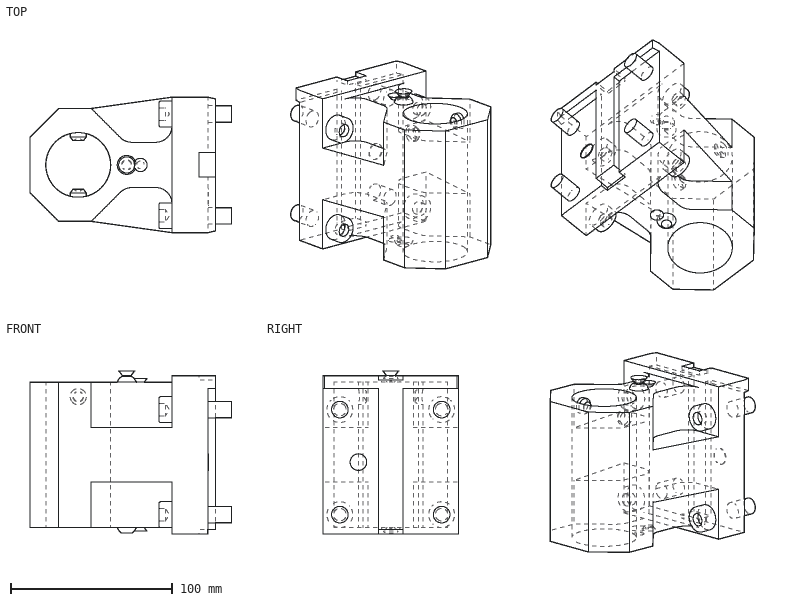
import cadquery as cq
import math


BODY_HEIGHT = 90.0
BODY_HALF_WIDTH = 35.0
BODY_FRONT = -30.0
FRONT_BEVEL = 17.9
BORE_RADIUS = 20.0

WEB_HALF_WIDTH = 14.0
WEB_FILLET = 10.0
POCKET_CORNER_X = 29.0
BEVEL_END_X = POCKET_CORNER_X - (BODY_HALF_WIDTH - WEB_HALF_WIDTH)
RIB_HEIGHT = 33.8

PLATE_HALF_WIDTH = 42.0
PLATE_HEIGHT = 98.0
PLATE_FRONT = 58.0
PLATE_BACK = 80.2
LIP_BACK = 85.0
LIP_HEIGHT = 8.0
LIP_TAPER = 1.1

KEY_WIDTH = 15.2
KEY_FRONT = 74.9
KEY_INSET = 2.8

PAD_RADIUS = 5.1
PAD_HEIGHT = 0.5
PAD_Y = -20.0

BOLT_END = 95.0
BOLT_RADIUS = 5.1
HEAD_RADIUS = 8.0
HEAD_LENGTH = 8.0
HEAD_FILLET = 1.0
BOLT_SOCKET_RADIUS = 3.9
BOLT_SOCKET_DEPTH = 4.0
BOLT_Y = 31.5
BOLT_SPACING_Z = 65.0
LOWER_BOLT_MARGIN = 12.0
LOWER_BOLT_Z = LOWER_BOLT_MARGIN - PLATE_HEIGHT / 2
UPPER_BOLT_Z = LOWER_BOLT_Z + BOLT_SPACING_Z
PAD_Z = (LOWER_BOLT_Z + UPPER_BOLT_Z) / 2

SCREW_RADIUS = 5.0
SCREW_TIP_RADIUS = 3.2
SCREW_TIP_Y = 15.0
SCREW_TIP_LENGTH = 2.2
SCREW_EMBEDMENT = 2.5
SCREW_ROOT_Y = BORE_RADIUS + SCREW_EMBEDMENT
SCREW_BELOW_TOP = 9.0
SCREW_Z = BODY_HEIGHT / 2 - SCREW_BELOW_TOP
SCREW_CUP_RADIUS = 3.0

NOZZLE_X = 30.0
DOME_RADIUS = 6.1
DOME_SINK = 1.8
DOME_HEIGHT = 3.5
NOZZLE_NECK_RADIUS = 2.9
NOZZLE_NECK_TOP = 4.2
NOZZLE_RIM_RADIUS = 5.0
NOZZLE_HEIGHT = 7.0
PLUG_X = 38.5
PLUG_BASE_RADIUS = 2.4
PLUG_RIM_RADIUS = 4.1
PLUG_HEIGHT = 2.2

DRILL_POINT_HALF_ANGLE = math.radians(59)

ROOT = 1.2


def prism(points, height):
    """Extrude an XY outline symmetrically about Z = 0."""
    return cq.Workplane("XY").polyline(points).close().extrude(height / 2, both=True)


def block(x_range, width, z_range):
    """Box centred on Y = 0."""
    x_min, x_max = x_range
    z_min, z_max = z_range
    size = (x_max - x_min, width, z_max - z_min)
    return cq.Workplane("XY").box(*size, centered=(False, True, False)).translate((x_min, 0, z_min))


def turned(points):
    """Solid of revolution about the Z axis from (radius, height) points."""
    return cq.Workplane("XZ").polyline(points).close().revolve(360, (0, 0, 0), (0, 1, 0))


def drilled_hole(radius, depth=0.0):
    """Cutter from Z = 0 upward: a round hole, if any depth is given, ending in a drill point."""
    apex = (0, depth + radius / math.tan(DRILL_POINT_HALF_ANGLE))
    wall_end = [(radius, depth)] if depth > 0 else []
    return turned([(0, 0), (radius, 0)] + wall_end + [apex])


def make_body():
    """Bevelled clamping block joined to the plate by a filleted web."""
    bevel_y = BODY_HALF_WIDTH - FRONT_BEVEL
    bevel_x = BODY_FRONT + FRONT_BEVEL
    web_start = PLATE_FRONT - WEB_FILLET
    half = [
        (PLATE_FRONT, WEB_HALF_WIDTH + WEB_FILLET),
        (web_start, WEB_HALF_WIDTH + WEB_FILLET),
        (web_start, WEB_HALF_WIDTH),
        (POCKET_CORNER_X, WEB_HALF_WIDTH),
        (BEVEL_END_X, BODY_HALF_WIDTH),
        (bevel_x, BODY_HALF_WIDTH),
        (BODY_FRONT, bevel_y),
    ]
    body = prism(half + [(x, -y) for x, y in reversed(half)], BODY_HEIGHT)
    for side in (-1, 1):
        corner = cq.selectors.NearestToPointSelector((POCKET_CORNER_X, side * WEB_HALF_WIDTH, 0))
        hollow = (
            cq.Workplane("XY")
            .center(web_start, side * (WEB_HALF_WIDTH + WEB_FILLET))
            .circle(WEB_FILLET)
            .extrude(BODY_HEIGHT / 2, both=True)
        )
        body = body.edges("|Z").edges(corner).fillet(WEB_FILLET).cut(hollow)
    return body


def make_rib():
    """Flared rib at mid-height, widening from the body to the plate."""
    outline = [
        (0, BODY_HALF_WIDTH),
        (BEVEL_END_X, BODY_HALF_WIDTH),
        (PLATE_FRONT, PLATE_HALF_WIDTH),
        (PLATE_FRONT, -PLATE_HALF_WIDTH),
        (BEVEL_END_X, -BODY_HALF_WIDTH),
        (0, -BODY_HALF_WIDTH),
    ]
    return prism(outline, RIB_HEIGHT)


def make_plate():
    """Mounting plate with its tapered top lip, keyway, key and back pad."""
    half_height = PLATE_HEIGHT / 2
    outline = [
        (PLATE_FRONT, PLATE_HALF_WIDTH),
        (PLATE_BACK, PLATE_HALF_WIDTH),
        (LIP_BACK, PLATE_HALF_WIDTH - LIP_TAPER),
        (LIP_BACK, -PLATE_HALF_WIDTH + LIP_TAPER),
        (PLATE_BACK, -PLATE_HALF_WIDTH),
        (PLATE_FRONT, -PLATE_HALF_WIDTH),
    ]
    below_lip = block((PLATE_BACK, LIP_BACK), 2 * PLATE_HALF_WIDTH, (-half_height, half_height - LIP_HEIGHT))
    keyway = block((KEY_FRONT, LIP_BACK), KEY_WIDTH, (-half_height, half_height))
    key = block((KEY_FRONT, LIP_BACK), KEY_WIDTH, (KEY_INSET - half_height, half_height - KEY_INSET))
    pad = (
        cq.Workplane("YZ", origin=(PLATE_BACK - ROOT, PAD_Y, PAD_Z))
        .circle(PAD_RADIUS)
        .extrude(ROOT + PAD_HEIGHT)
    )
    return prism(outline, PLATE_HEIGHT).cut(below_lip).cut(keyway).union(key).union(pad)


def make_bolt():
    """Bolt along X with a round socket, its head seated on the plate front."""
    profile = [
        (0, 0),
        (HEAD_RADIUS, 0),
        (HEAD_RADIUS, HEAD_LENGTH),
        (BOLT_RADIUS, HEAD_LENGTH),
        (BOLT_RADIUS, BOLT_END - PLATE_FRONT + HEAD_LENGTH),
        (0, BOLT_END - PLATE_FRONT + HEAD_LENGTH),
    ]
    bolt = turned(profile).faces("<Z").edges().fillet(HEAD_FILLET)
    bolt = bolt.cut(drilled_hole(BOLT_SOCKET_RADIUS, BOLT_SOCKET_DEPTH))
    return bolt.rotate((0, 0, 0), (0, 1, 0), 90).translate((PLATE_FRONT - HEAD_LENGTH, 0, 0))


def make_set_screw():
    """Set screw along +Y, with its coned cup point inside the bore."""
    length = SCREW_ROOT_Y - SCREW_TIP_Y
    profile = [
        (0, 0),
        (SCREW_TIP_RADIUS, 0),
        (SCREW_RADIUS, SCREW_TIP_LENGTH),
        (SCREW_RADIUS, length),
        (0, length),
    ]
    screw = turned(profile).cut(drilled_hole(SCREW_CUP_RADIUS))
    return screw.rotate((0, 0, 0), (1, 0, 0), -90).translate((0, SCREW_TIP_Y, SCREW_Z))


def make_dome():
    """Flat-topped spherical dome standing on Z = 0."""
    slab = cq.Workplane("XY").circle(DOME_RADIUS).extrude(ROOT + DOME_HEIGHT).translate((0, 0, -ROOT))
    return cq.Workplane("XY").sphere(DOME_RADIUS).translate((0, 0, -DOME_SINK)).intersect(slab)


def make_nozzle_rim():
    """Neck and flaring cone that top the upper dome."""
    profile = [
        (0, 0),
        (NOZZLE_NECK_RADIUS, 0),
        (NOZZLE_NECK_RADIUS, NOZZLE_NECK_TOP),
        (NOZZLE_RIM_RADIUS, NOZZLE_HEIGHT),
        (0, NOZZLE_HEIGHT),
    ]
    return turned(profile)


def make_plug():
    """Small cone, widest at its free end."""
    profile = [
        (0, -ROOT),
        (PLUG_BASE_RADIUS, -ROOT),
        (PLUG_BASE_RADIUS, 0),
        (PLUG_RIM_RADIUS, PLUG_HEIGHT),
        (0, PLUG_HEIGHT),
    ]
    return turned(profile)


bore = cq.Workplane("XY").circle(BORE_RADIUS).extrude(BODY_HEIGHT / 2, both=True)
result = make_body().union(make_rib()).cut(bore).union(make_plate())

for bolt_y in (-BOLT_Y, BOLT_Y):
    for bolt_z in (LOWER_BOLT_Z, UPPER_BOLT_Z):
        result = result.union(make_bolt().translate((0, bolt_y, bolt_z)))

set_screw = make_set_screw()
result = result.union(set_screw).union(set_screw.mirror("XZ"))

body_top = BODY_HEIGHT / 2
dome = make_dome().translate((NOZZLE_X, 0, body_top))
plug = make_plug().translate((PLUG_X, 0, body_top))
end_fittings = dome.union(plug)
result = result.union(end_fittings).union(end_fittings.mirror("XY"))
result = result.union(make_nozzle_rim().translate((NOZZLE_X, 0, body_top)))